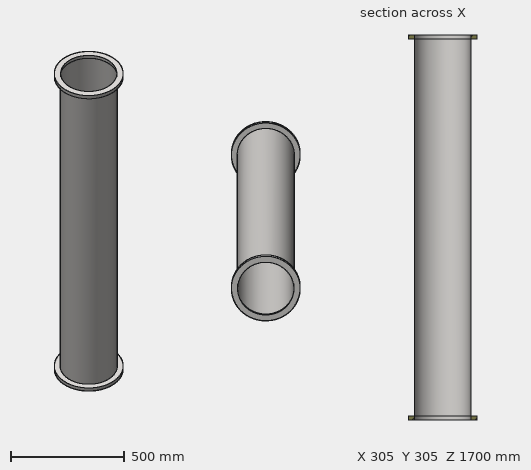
import cadquery as cq

total_length = 1700.0
flange_diameter = 305.0
flange_thickness = 19.0
pipe_diameter = 253.0
bore_diameter = 248.0


def flange(base_height):
    """Flat disc around the pipe, starting at the given height."""
    return (
        cq.Workplane("XY")
        .workplane(offset=base_height)
        .circle(flange_diameter / 2)
        .extrude(flange_thickness)
    )


pipe = cq.Workplane("XY").circle(pipe_diameter / 2).extrude(total_length)

for base_height in (0, total_length - flange_thickness):
    pipe = pipe.union(flange(base_height))

bore = cq.Workplane("XY").circle(bore_diameter / 2).extrude(total_length)
result = pipe.cut(bore)